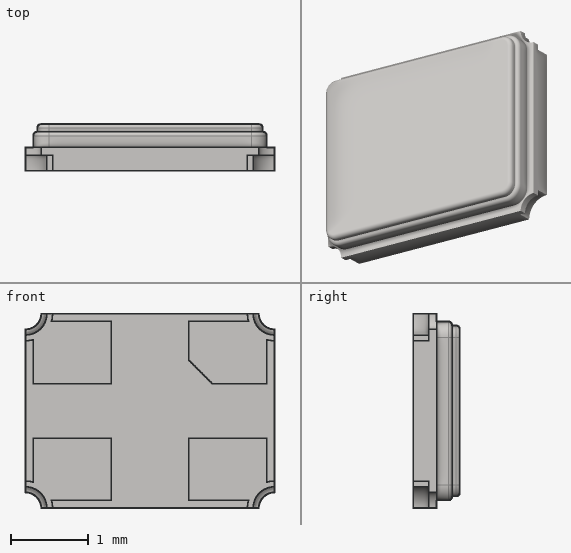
import cadquery as cq


base_width = 3.2
base_height = 2.5
base_thickness = 0.3
notch_radius = 0.2

pad_width = 1.0
pad_height = 0.8
pad_inset = 0.1
pad_thickness = 0.2
pad_chamfer = 0.3
pad_notch_radius = 0.275
metal_rim_radius = 0.35

frame_inset = 0.1
frame_thickness = 0.2
frame_corner_radius = 0.2
step_inset = 0.05
lid_thickness = 0.1
edge_fillet = step_inset

frame_width = base_width - 2 * frame_inset
frame_height = base_height - 2 * frame_inset
lid_width = frame_width - 2 * step_inset
lid_height = frame_height - 2 * step_inset
lid_corner_radius = frame_corner_radius - step_inset
frame_start = base_thickness
lid_start = frame_start + frame_thickness

corner_signs = [(-1, -1), (-1, 1), (1, -1), (1, 1)]
marked_corner = (1, 1)


def plate(width, height, start, thickness):
    """Rectangular plate centred on the Y axis, reaching from Y = start toward +Y."""
    return (
        cq.Workplane("XZ", origin=(0, start, 0))
        .rect(width, height)
        .extrude(-thickness)
    )


def corner_disc(signs, radius, thickness):
    """Disc on one corner of the base, from the soldering face toward +Y."""
    sign_x, sign_z = signs
    corner = (sign_x * base_width / 2, 0, sign_z * base_height / 2)
    return cq.Workplane("XZ", origin=corner).circle(radius).extrude(-thickness)


def make_pad(signs):
    """Rectangular pad joined to the metal rim that lines the corner notch."""
    sign_x, sign_z = signs
    outer_x = base_width / 2 - pad_inset
    outer_z = base_height / 2 - pad_inset
    inner_x = outer_x - pad_width
    inner_z = outer_z - pad_height

    outline = [(outer_x, inner_z), (outer_x, outer_z), (inner_x, outer_z)]
    if signs == marked_corner:
        outline += [(inner_x, inner_z + pad_chamfer), (inner_x + pad_chamfer, inner_z)]
    else:
        outline += [(inner_x, inner_z)]

    contact = (
        cq.Workplane("XZ")
        .polyline([(sign_x * x, sign_z * z) for x, z in outline])
        .close()
        .extrude(-pad_thickness)
    )
    base_block = plate(base_width, base_height, 0, pad_thickness)
    rim = corner_disc(signs, metal_rim_radius, pad_thickness).intersect(base_block)
    notch = corner_disc(signs, pad_notch_radius, pad_thickness)
    return contact.union(rim).cut(notch)


def make_base(pads):
    """Ceramic plate with stepped corner notches and a recess for every pad."""
    base = plate(base_width, base_height, 0, base_thickness)
    for signs in corner_signs:
        base = base.cut(corner_disc(signs, notch_radius, base_thickness))
        base = base.cut(corner_disc(signs, pad_notch_radius, pad_thickness))
    for pad in pads:
        base = base.cut(pad)
    return base


def make_rounded_plate(width, height, start, thickness, corner_radius):
    """Plate with round corners and a filleted rim on its +Y face."""
    return (
        plate(width, height, start, thickness)
        .edges("|Y")
        .fillet(corner_radius)
        .faces(">Y")
        .edges()
        .fillet(edge_fillet)
    )


pads = [make_pad(signs) for signs in corner_signs]
base = make_base(pads)
frame = make_rounded_plate(
    frame_width, frame_height, frame_start, frame_thickness, frame_corner_radius
)
lid = make_rounded_plate(
    lid_width, lid_height, lid_start, lid_thickness, lid_corner_radius
)

result = cq.Compound.makeCompound(
    [body.solids().val() for body in [base, frame, lid, *pads]]
)